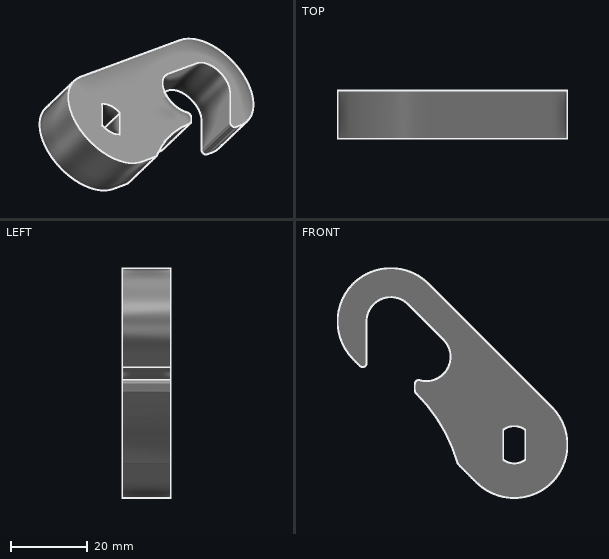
import cadquery as cq
import math

length = 60.3
thickness = 12.7
end_radius = 14.0
cavity_radius = 6.3
cavity_end = 6.9
lip_x = -9.9
relief_radius = 42.2
relief_x, relief_z = -39.25, -32.7
tip_radius = 1.0
bore_diameter = 9.7
bore_width = 5.7

end_offset = length / 2 - end_radius
hook_inner_x = -end_offset - cavity_radius


def plate(sketch):
    """Extrude an XZ outline symmetrically through the thickness."""
    return sketch.extrude(thickness / 2, both=True)


def diagonal_slot(near, far, radius):
    """Round-ended slot with end centres at (-far, far) and (-near, near)."""
    middle = (near + far) / 2
    spacing = (far - near) * math.sqrt(2)
    outline = cq.Workplane("XZ").center(-middle, middle)
    return plate(outline.slot2D(spacing + 2 * radius, 2 * radius, -45))


def relief_height(x):
    """Height of the upper relief arc at x."""
    return relief_z + math.sqrt(relief_radius**2 - (x - relief_x) ** 2)


def throat():
    """Opening from the cavity to the outside, bounded below by the relief arc."""
    arc_end = (relief_x + relief_radius, relief_z)
    arc_middle_x = (lip_x + arc_end[0]) / 2
    outline = (
        cq.Workplane("XZ")
        .moveTo(hook_inner_x, end_offset)
        .lineTo(lip_x, end_offset)
        .lineTo(lip_x, relief_height(lip_x))
        .threePointArc((arc_middle_x, relief_height(arc_middle_x)), arc_end)
        .lineTo(hook_inner_x, relief_z)
        .close()
    )
    return plate(outline)


def pivot_hole():
    """Round hole with two flats parallel to Z."""
    centre = cq.Workplane("XZ").center(end_offset, -end_offset)
    return plate(centre.circle(bore_diameter / 2)).intersect(
        plate(centre.rect(bore_width, bore_diameter))
    )


def edge_at(x, z):
    """Selector for the edge along Y nearest to the point (x, z)."""
    return cq.selectors.NearestToPointSelector((x, 0, z))


body = diagonal_slot(-end_offset, end_offset, end_radius)
body = body.cut(diagonal_slot(cavity_end, end_offset, cavity_radius)).cut(throat())

lower_edge_sum = -end_radius * math.sqrt(2)
edge_distance = (lower_edge_sum - relief_x - relief_z) / math.sqrt(2)
half_chord = math.sqrt(relief_radius**2 - edge_distance**2)
relief_end_x = relief_x + (edge_distance + half_chord) / math.sqrt(2)

tip_z = lower_edge_sum - hook_inner_x
lip_top_z = cavity_end - math.sqrt(cavity_radius**2 - (lip_x + cavity_end) ** 2)
corners = [
    (hook_inner_x, tip_z),
    (lip_x, lip_top_z),
    (lip_x, relief_height(lip_x)),
    (relief_end_x, lower_edge_sum - relief_end_x),
]
for corner in corners:
    body = body.edges("|Y").edges(edge_at(*corner)).fillet(tip_radius)

result = body.cut(pivot_hole())